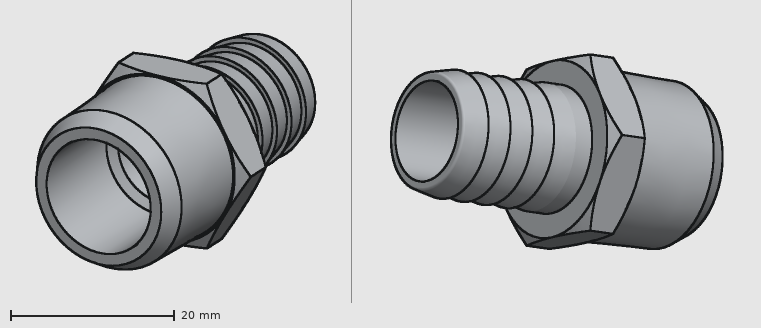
import cadquery as cq
import math

total_length = 39.0
thread_length = 14.0
thread_lead_in = 2.5
hex_length = 5.5
collar_length = 2.5
barb_count = 5

across_flats = 22.0
thread_tip_radius = 9.0
thread_front_radius = 10.4
thread_back_radius = 10.75
barb_crest_radius = 8.0
barb_root_radius = 7.35
tip_rounding = 0.35
hex_chamfer_angle = 30.0

thread_bore_radius = 7.5
tail_bore_radius = 6.25
bore_cone_angle = 60.0

hex_end = thread_length + hex_length
collar_end = hex_end + collar_length
barb_pitch = (total_length - collar_end) / barb_count
flat_radius = across_flats / 2
across_corners = across_flats / math.cos(math.radians(30))
corner_radius = across_corners / 2
hex_chamfer_length = (corner_radius - flat_radius) * math.tan(math.radians(hex_chamfer_angle))
bore_cone_length = (thread_bore_radius - tail_bore_radius) / math.tan(math.radians(bore_cone_angle))


def revolve_profile(points):
    """Revolve a closed (radius, Y) profile around the Y axis."""
    return cq.Workplane("XY").polyline(points).close().revolve(360, (0, 0, 0), (0, 1, 0))


def make_thread():
    """Tapered thread envelope with a conical lead-in."""
    return revolve_profile([
        (0, 0),
        (thread_tip_radius, 0),
        (thread_front_radius, thread_lead_in),
        (thread_back_radius, thread_length),
        (0, thread_length),
    ])


def make_hex():
    """Hexagonal nut with flats facing +Z and -Z and both ends chamfered."""
    prism = (
        cq.Workplane("XZ", origin=(0, thread_length, 0))
        .polygon(6, across_corners)
        .extrude(-hex_length)
    )
    chamfer_envelope = revolve_profile([
        (0, thread_length),
        (flat_radius, thread_length),
        (corner_radius, thread_length + hex_chamfer_length),
        (corner_radius, hex_end - hex_chamfer_length),
        (flat_radius, hex_end),
        (0, hex_end),
    ])
    return prism.intersect(chamfer_envelope)


def make_barbed_tail():
    """Plain collar followed by barbs that narrow toward the hose end."""
    points = [(0, hex_end), (barb_crest_radius, hex_end)]
    for index in range(barb_count):
        barb_start = collar_end + index * barb_pitch
        points.append((barb_crest_radius, barb_start))
        points.append((barb_root_radius, barb_start + barb_pitch))
    points.append((0, total_length))
    return revolve_profile(points).faces(">Y").edges().fillet(tip_rounding)


def make_bore():
    """Wide bore through the thread, narrowing by a cone to the tail bore."""
    return revolve_profile([
        (0, 0),
        (thread_bore_radius, 0),
        (thread_bore_radius, thread_length),
        (tail_bore_radius, thread_length + bore_cone_length),
        (tail_bore_radius, total_length),
        (0, total_length),
    ])


result = make_thread().union(make_hex()).union(make_barbed_tail()).cut(make_bore())